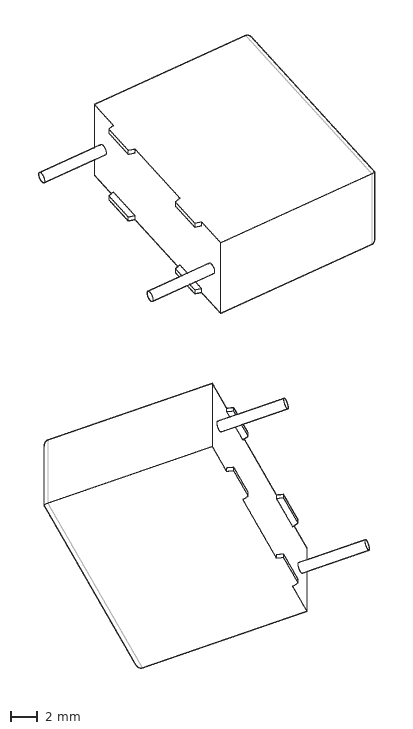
import cadquery as cq

housing_width = 17.5
housing_length = 14.0
housing_height = 7.5
back_edge_radius = 0.49

foot_root_width = 3.0
foot_tip_width = 2.7
foot_length = 0.5
foot_thickness = 0.43
foot_spacing = 9.2

overall_length = 19.5
pin_diameter = 0.85
pin_pitch = 15.0
pin_length = overall_length - housing_length


def make_foot(center_x, bottom_z):
    """Trapezoidal foot that narrows away from the -Y face of the housing."""
    half_root = foot_root_width / 2
    half_tip = foot_tip_width / 2
    outline = [
        (center_x - half_root, 0),
        (center_x - half_tip, -foot_length),
        (center_x + half_tip, -foot_length),
        (center_x + half_root, 0),
    ]
    return cq.Workplane("XY", origin=(0, 0, bottom_z)).polyline(outline).close().extrude(foot_thickness)


def make_housing():
    """Block with its +Y edges rounded and four feet on its -Y face."""
    body = (
        cq.Workplane("XY")
        .box(housing_width, housing_length, housing_height, centered=(True, False, True))
        .faces(">Y")
        .edges()
        .fillet(back_edge_radius)
    )
    lower_foot_z = -housing_height / 2
    upper_foot_z = housing_height / 2 - foot_thickness
    for center_x in (-foot_spacing / 2, foot_spacing / 2):
        for bottom_z in (lower_foot_z, upper_foot_z):
            body = body.union(make_foot(center_x, bottom_z))
    return body


def make_pin(center_x):
    """Straight round pin that stands on the -Y face and points toward -Y."""
    return cq.Workplane("XZ").center(center_x, 0).circle(pin_diameter / 2).extrude(pin_length)


housing = make_housing()
pins = [make_pin(center_x) for center_x in (-pin_pitch / 2, pin_pitch / 2)]

result = cq.Compound.makeCompound([housing.val(), *[pin.val() for pin in pins]])